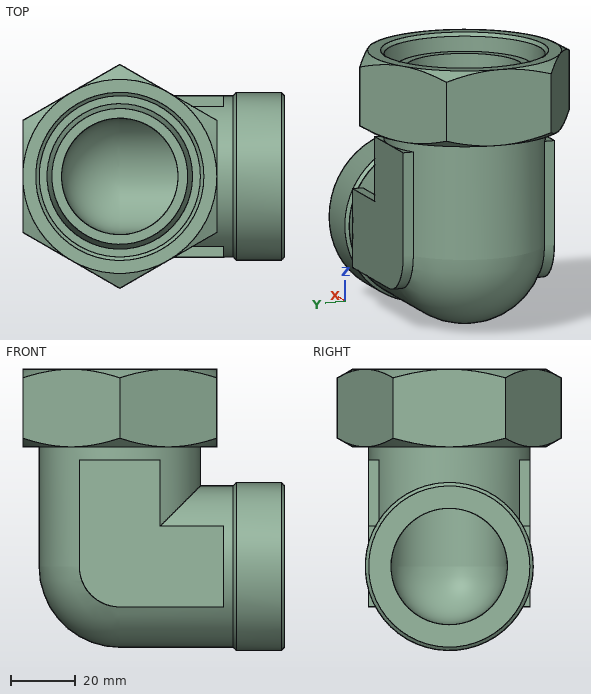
import cadquery as cq
import math

body_diameter = 50.0
bore_diameter = 36.0
body_radius = body_diameter / 2
bore_radius = bore_diameter / 2

pad_half_width = body_radius / 2
pad_top = 33.0
pad_end = 32.0

thread_major_diameter = 52.0
thread_minor_diameter = 49.84
thread_chamfer = (thread_major_diameter - thread_minor_diameter) / 2
collar_length = 16.0
collar_end = 51.0
collar_start = collar_end - collar_length

nut_across_flats = 60.0
nut_height = 24.0
nut_top = 61.0
nut_bottom = nut_top - nut_height
nut_across_corners = nut_across_flats / math.cos(math.radians(30))
nut_chamfer_angle = 30.0

spigot_top_diameter = 42.0
spigot_base_diameter = 45.0
spigot_height = 6.0
spigot_recess = 5.0
spigot_top = nut_top - spigot_recess
socket_floor = spigot_top - spigot_height


def elbow(radius, upright_end, side_end):
    """Two perpendicular cylinders joined by a sphere at the origin."""
    upright = cq.Workplane("XY").circle(radius).extrude(upright_end)
    side = cq.Workplane("YZ").circle(radius).extrude(side_end)
    corner = cq.Workplane("XY").sphere(radius)
    return upright.union(side).union(corner)


def side_pads():
    """L-shaped plate across the elbow whose two faces are the flat pads."""
    arc_mid = pad_half_width * math.sqrt(0.5)
    return (
        cq.Workplane("XZ")
        .moveTo(-pad_half_width, pad_top)
        .lineTo(pad_half_width, pad_top)
        .lineTo(pad_half_width, pad_half_width)
        .lineTo(pad_end, pad_half_width)
        .lineTo(pad_end, -pad_half_width)
        .lineTo(0, -pad_half_width)
        .threePointArc((-arc_mid, -arc_mid), (-pad_half_width, 0))
        .close()
        .extrude(body_radius, both=True)
    )


def thread_collar():
    """Male threaded end of the +X leg, chamfered to the thread root at both ends."""
    return (
        cq.Workplane("YZ")
        .workplane(offset=collar_start)
        .circle(thread_major_diameter / 2)
        .extrude(collar_length)
        .edges("%CIRCLE")
        .chamfer(thread_chamfer)
    )


def hex_nut():
    """Solid hexagon with flats facing +X and -X and its corners turned down at both ends."""
    hexagon = (
        cq.Workplane("XY")
        .workplane(offset=nut_bottom)
        .transformed(rotate=(0, 0, 90))
        .polygon(6, nut_across_corners)
        .extrude(nut_height)
    )
    flat_radius = nut_across_flats / 2
    corner_radius = nut_across_corners / 2
    drop = (corner_radius - flat_radius) * math.tan(math.radians(nut_chamfer_angle))
    turned_blank = (
        cq.Workplane("XZ")
        .moveTo(0, nut_bottom)
        .lineTo(flat_radius, nut_bottom)
        .lineTo(corner_radius, nut_bottom + drop)
        .lineTo(corner_radius, nut_top - drop)
        .lineTo(flat_radius, nut_top)
        .lineTo(0, nut_top)
        .close()
        .revolve(360, (0, 0, 0), (0, 1, 0))
    )
    return hexagon.intersect(turned_blank)


def nut_socket():
    """Threaded socket of the nut, shaped around the tapered spigot."""
    return (
        cq.Workplane("XZ")
        .moveTo(0, nut_top)
        .lineTo(thread_major_diameter / 2, nut_top)
        .lineTo(thread_minor_diameter / 2, nut_top - thread_chamfer)
        .lineTo(thread_minor_diameter / 2, socket_floor)
        .lineTo(spigot_base_diameter / 2, socket_floor)
        .lineTo(spigot_top_diameter / 2, spigot_top)
        .lineTo(0, spigot_top)
        .close()
        .revolve(360, (0, 0, 0), (0, 1, 0))
    )


body = elbow(body_radius, nut_bottom, collar_start)
body = body.union(side_pads()).union(thread_collar()).union(hex_nut())
body = body.cut(nut_socket())
result = body.cut(elbow(bore_radius, nut_top, collar_end))